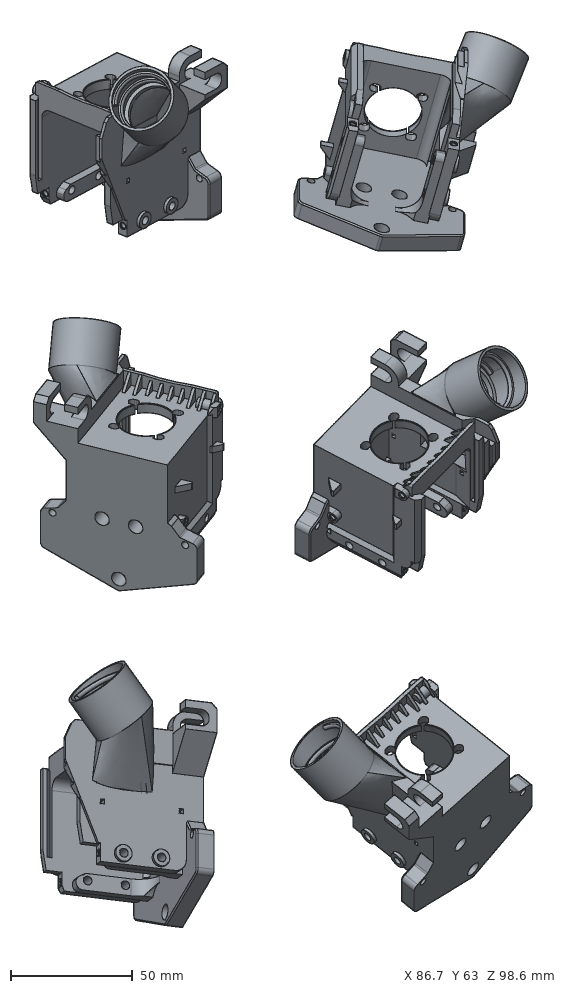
import cadquery as cq
import math


PLATE_THICKNESS = 7.7
PLATE_HALF_WIDTH = 35.25
PLATE_TIP_ANGLE = 20.0
PLATE_TIP_RADIUS = 2.0
FOOT_RADIUS = 2.6
NECK_RADIUS = 1.2
EAR_RADIUS = 2.8
PLATE_EDGE_CHAMFER = 0.6
EAR_TOP_Z = 31.4
EAR_NECK = (27.4, 33.5)
NECK_CORNER = (23.7, 38.0)
NECK_TOP = (21.5, 39.4)
LARGE_SCREW_DIAMETER = 6.5
SMALL_SCREW_DIAMETER = 3.2
TIP_SCREW_Z = 5.7
PAIR_SCREW_X = 7.55
PAIR_SCREW_Z = 33.45
EAR_SCREW_X = 29.85
EAR_SCREW_Z = 30.4

INNER_X = 18.95
PANEL_X = 21.9
RAIL_X = 23.6
DUCT_SIDE_RECESS = 1.6
RAIL_BOTTOM_Z = 16.0
WALL_BOTTOM_Z = 24.0
BOX_TOP_Z = 67.65
JAMB_TOP_Z = 67.9
CEILING_Z = 63.0
CEILING_FILLET = 4.3
CEILING_FRONT = 50.1
PANEL_FRONT = 40.2
DUCT_SIDE_FRONT = 41.5
DUCT_SIDE_RUN_OUT = 49.6
DUCT_SIDE_BOTTOM_Z = 24.5
RAIL_FRONT = 45.6
JAMB_FRONT = 54.2
JAMB_FOOT_FRONT = 52.7
JAMB_TAPER_Z = 33.1
JAMB_CHAMFER = 2.1
RAIL_CHAMFER_X = 0.9
RAIL_CHAMFER_Z = 2.3
HEEL_RADIUS = 5.0
SCOOP_TOP_Z = 30.0
GROOVE_WIDTH = 2.2
GROOVE_BOTTOM_Z = 29.8
SCOOP_RADIUS = 4.8
CROSS_HOLE_DIAMETER = 3.7
CROSS_HOLE_Z = 20.4
CROSS_HOLE_FORWARD = (19.2, 35.9)
CROSS_BOSS_DIAMETER = 7.2
CROSS_BOSS_X = 25.15
END_SCREW_X = 21.3
END_SCREW_DEPTH = 8.0
INSERT_DIAMETER = 2.5
INSERT_MOUTH_DIAMETER = 3.2
INSERT_MOUTH_DEPTH = 0.6

FAN_FORWARD = 27.6
FAN_DIAMETER = 23.9
FAN_MOUTH_DIAMETER = 24.6
FAN_SLOT_OFFSET = 9.92
FAN_SLOT_LENGTH = 4.6
FAN_SLOT_WIDTH = 3.7

LINTEL_BACK = 48.5
LINTEL_LEFT_X = -22.5
LINTEL_RIGHT_X = 22.15
LINTEL_TOP_Z = 74.05
LINTEL_DIP = 0.55
LINTEL_DIP_HALF_WIDTH = 10.5
LINTEL_CORNER_RADIUS = 1.0
GUSSET_THICKNESS = 1.35
GUSSET_PITCH = 4.81
GUSSET_COUNT = 9
MIDDLE_GUSSET_X = -2.6
LONG_GUSSET = 6.3
SHORT_GUSSET = 4.5
SHORT_GUSSET_INDEXES = (3, 4, 5, 6)

CURB_INNER_X = 18.4
CURB_OUTER_X = 24.4
CURB_TOP_Z = 76.0
CURB_BOTTOM_Z = 61.0
CURB_THICK_LENGTH = 23.0
CURB_CHAMFER_START = 46.2
HOOK_CENTRE = (7.0, 78.3)
HOOK_SLOT_RADIUS = 3.55
HOOK_RADIUS = 6.9
FAR_HOOK_X = 32.4
HOOK_END_X = 38.4
HOOK_TIP_THICKNESS = 2.2
HOOK_CHAMFER = 2.4
FIN_INNER_X = 22.15
FIN_OUTER_X = 23.65
FIN_FRONT = 61.2
FIN_BASE = (54.0, 41.5)
FIN_SLOPE_END = (46.6, WALL_BOTTOM_Z)

SOCKET_TILT = 12.0
SOCKET_RIM_CENTRE = (37.8, 52.85, 88.5)
SOCKET_LENGTH = 20.0
SOCKET_DIAMETER = 28.0
SOCKET_BORE_DIAMETER = 25.5
SOCKET_STOP_DIAMETER = 22.0
SOCKET_STOP_DEPTH = 17.5
THREAD_CREST_DIAMETER = 22.0
THREAD_SHOULDER_DIAMETER = 23.8
THREAD_EMBEDDING = 0.3
THREAD_PITCH = 8.2
THREAD_TURNS = 1.6
THREAD_WIDTH = 2.2
THREAD_START_DEPTH = 1.0
THREAD_RIM_ANGLE = 145.0
DUCT_OUTER_MOUTH = ((20.0, 43.8), (49.4, 43.8), (42.5, CURB_TOP_Z), (20.0, CURB_TOP_Z))
DUCT_INNER_MOUTH = ((23.5, 44.6), (47.4, 44.6), (46.4, CEILING_Z), (23.5, CEILING_Z))

WEDGE_TIP_X = 27.1
WEDGE_TIP_LENGTH = 1.0
WEDGE_Z = (49.3, 52.4)
WEDGE_PLACES = ((13.7, PANEL_X), (45.6, RAIL_X))
PIN_DIAMETER = 5.0
PIN_END_X = -25.0
UPPER_PIN = (46.6, 68.4)
UPPER_PIN_LENGTH = 10.0
UPPER_WEB_LENGTH = 3.2
UPPER_WEB_BEVEL = 2.2
LOWER_WEB_LENGTH = 1.6
LOWER_PIN = (11.6, 33.4)
SLIT_WIDTH = 1.7
SLIT_HEIGHT = 2.0
SLIT_CENTRES = ((9.9, 42.0), (44.8, 42.0))

BAR_INNER_X = 15.0
BAR_END = 41.0
BAR_NOSE_RADIUS = 2.8
NOSE_TOP_Z = 21.9
NOSE_FLAT_TOP_Z = 20.0
BAR_BOTTOM_Z = 16.1
BAR_TOP_Z = 23.4
BAR_ROOT_RADIUS = 9.1
ROOT_TIP_Z = 20.2
CLIP_X = 16.8
CLIP_Z = (25.8, 29.6)
CLIP_LENGTH = 2.2
CLIP_NOTCHES = ((-RAIL_X, 2.2, (21.5, WALL_BOTTOM_Z)), (-PANEL_X, 1.5, (WALL_BOTTOM_Z, CLIP_Z[1])))

OVERLAP = 0.5


def block(x_range, y_range, z_range):
    """Axis-aligned box between the given limits."""
    sizes = [high - low for low, high in (x_range, y_range, z_range)]
    corner = (x_range[0], y_range[0], z_range[0])
    return cq.Workplane("XY").box(*sizes, centered=False).translate(corner)


def prism_x(points, x0, x1):
    """Prism along X from a (forward, z) outline."""
    return cq.Workplane("YZ").workplane(offset=x0).polyline(points).close().extrude(x1 - x0)


def prism_y(points, y0, y1):
    """Prism along Y from an (x, z) outline."""
    return cq.Workplane("XZ").workplane(offset=-y0).polyline(points).close().extrude(y0 - y1)


def prism_z(points, z0, z1):
    """Prism along Z from an (x, forward) outline."""
    return cq.Workplane("XY").workplane(offset=z0).polyline(points).close().extrude(z1 - z0)


def rod_x(centre, diameter, x0, x1):
    return cq.Workplane("YZ").workplane(offset=x0).center(*centre).circle(diameter / 2).extrude(x1 - x0)


def rod_y(centre, diameter, y0, y1):
    return cq.Workplane("XZ").workplane(offset=-y0).center(*centre).circle(diameter / 2).extrude(y0 - y1)


def mirror_x(shape):
    return shape.mirror("YZ")


def mounting_plate():
    radius = PLATE_TIP_RADIUS
    slope = math.tan(math.radians(PLATE_TIP_ANGLE))
    tip_z = -radius * (1 / math.cos(math.radians(PLATE_TIP_ANGLE)) - 1)
    right_side = [
        (PLATE_HALF_WIDTH, tip_z + PLATE_HALF_WIDTH * slope),
        (PLATE_HALF_WIDTH, EAR_TOP_Z),
        EAR_NECK,
        NECK_CORNER,
        NECK_TOP,
    ]
    left_side = [(-x, z) for x, z in reversed(right_side)]
    plate = prism_y([(0, tip_z)] + right_side + left_side, 0, PLATE_THICKNESS)
    rounded_corners = [
        ((0, tip_z), radius),
        (right_side[0], FOOT_RADIUS),
        (right_side[1], EAR_RADIUS),
        (EAR_NECK, NECK_RADIUS),
    ]
    for (x, z), corner_radius in rounded_corners:
        for edge_x in {x, -x}:
            corner = cq.selectors.NearestToPointSelector((edge_x, PLATE_THICKNESS / 2, z))
            plate = plate.edges("|Y").edges(corner).fillet(corner_radius)
    plate = plate.faces(">Y").edges().chamfer(PLATE_EDGE_CHAMFER)
    screws = [
        ((0, TIP_SCREW_Z), LARGE_SCREW_DIAMETER),
        ((-PAIR_SCREW_X, PAIR_SCREW_Z), LARGE_SCREW_DIAMETER),
        ((PAIR_SCREW_X, PAIR_SCREW_Z), LARGE_SCREW_DIAMETER),
        ((-EAR_SCREW_X, EAR_SCREW_Z), SMALL_SCREW_DIAMETER),
        ((EAR_SCREW_X, EAR_SCREW_Z), SMALL_SCREW_DIAMETER),
    ]
    plate = plate.union(block((-PANEL_X, PANEL_X), (0, PLATE_THICKNESS), (EAR_NECK[1], CEILING_Z + OVERLAP)))
    for centre, diameter in screws:
        plate = plate.cut(rod_y(centre, diameter, -OVERLAP, PLATE_THICKNESS + OVERLAP))
    return plate


def jamb_outline():
    """Side profile of one side wall with its bottom rail and front jamb."""
    return [
        (0, EAR_NECK[1]),
        (PLATE_THICKNESS - OVERLAP, EAR_NECK[1]),
        (PLATE_THICKNESS - OVERLAP, RAIL_BOTTOM_Z),
        (RAIL_FRONT, RAIL_BOTTOM_Z),
        (RAIL_FRONT, WALL_BOTTOM_Z),
        (JAMB_FOOT_FRONT, WALL_BOTTOM_Z),
        (JAMB_FRONT, JAMB_TAPER_Z),
        (JAMB_FRONT, JAMB_TOP_Z),
        (RAIL_FRONT, JAMB_TOP_Z),
        (RAIL_FRONT, BOX_TOP_Z),
        (0, BOX_TOP_Z),
    ]


def wall_recess(x_mouth, x_floor, y_mouth, y_floor, z_mouth):
    """Shallow recess of a side wall: bevelled along its front and bottom edges."""
    z_floor = z_mouth + abs(x_mouth - x_floor)
    top = JAMB_TOP_Z + OVERLAP

    def rectangle(x, front, bottom):
        points = [(-OVERLAP, bottom), (front, bottom), (front, top), (-OVERLAP, top)]
        return cq.Wire.makePolygon([cq.Vector(x, y, z) for y, z in points], close=True)

    mouth = rectangle(x_mouth, y_mouth, z_mouth)
    floor = rectangle(x_floor, y_floor, z_floor)
    return cq.Workplane(cq.Solid.makeLoft([mouth, floor], True))


def rail_heel(x0, x1):
    """Waste outside the rounded lower back corner of a bottom rail."""
    y = PLATE_THICKNESS
    z = RAIL_BOTTOM_Z
    corner = block((x0, x1), (y, y + HEEL_RADIUS), (z, z + HEEL_RADIUS))
    return corner.cut(rod_x((y + HEEL_RADIUS, z + HEEL_RADIUS), 2 * HEEL_RADIUS, x0, x1))


def left_wall():
    wall = prism_x(jamb_outline(), -RAIL_X, -INNER_X)
    wall = wall.cut(rail_heel(-RAIL_X, -INNER_X))
    bevel_front = PANEL_FRONT + RAIL_X - PANEL_X
    wall = wall.cut(wall_recess(-RAIL_X, -PANEL_X, bevel_front, PANEL_FRONT, WALL_BOTTOM_Z))
    front_chamfer = prism_z(
        [
            (-RAIL_X, JAMB_FRONT - JAMB_CHAMFER),
            (-RAIL_X + JAMB_CHAMFER, JAMB_FRONT),
            (-RAIL_X, JAMB_FRONT),
        ],
        WALL_BOTTOM_Z,
        JAMB_TOP_Z,
    )
    rail_chamfer = prism_y(
        [
            (-RAIL_X, RAIL_BOTTOM_Z),
            (-RAIL_X + RAIL_CHAMFER_X, RAIL_BOTTOM_Z),
            (-RAIL_X, RAIL_BOTTOM_Z + RAIL_CHAMFER_Z),
        ],
        PLATE_THICKNESS,
        RAIL_FRONT,
    )
    rail_toe = prism_x(
        [
            (RAIL_FRONT, RAIL_BOTTOM_Z),
            (RAIL_FRONT, RAIL_BOTTOM_Z + RAIL_CHAMFER_Z),
            (RAIL_FRONT - RAIL_CHAMFER_X, RAIL_BOTTOM_Z),
        ],
        -RAIL_X,
        -INNER_X,
    )
    scoop = block((-RAIL_X, -PANEL_X), (RAIL_FRONT, JAMB_FRONT), (WALL_BOTTOM_Z, SCOOP_TOP_Z))
    scoop = scoop.cut(rod_x((RAIL_FRONT, WALL_BOTTOM_Z + SCOOP_RADIUS), 2 * SCOOP_RADIUS, -RAIL_X, -PANEL_X))
    scoop = scoop.cut(
        block(
            (-RAIL_X, -PANEL_X),
            (RAIL_FRONT, RAIL_FRONT + SCOOP_RADIUS),
            (WALL_BOTTOM_Z + SCOOP_RADIUS, SCOOP_TOP_Z),
        )
    )
    for cut in (front_chamfer, rail_chamfer, rail_toe, scoop):
        wall = wall.cut(cut)
    for face_x, depth, z_range in CLIP_NOTCHES:
        notch = prism_z(
            [
                (face_x, PLATE_THICKNESS),
                (face_x + depth, PLATE_THICKNESS),
                (face_x, PLATE_THICKNESS + depth),
            ],
            *z_range,
        )
        wall = wall.cut(notch)
    return wall


def right_wall():
    wall = prism_x(jamb_outline(), INNER_X, FIN_OUTER_X)
    wall = wall.cut(rail_heel(INNER_X, FIN_OUTER_X))
    floor_x = INNER_X + DUCT_SIDE_RECESS
    wall = wall.cut(wall_recess(INNER_X, floor_x, DUCT_SIDE_RUN_OUT, DUCT_SIDE_FRONT, DUCT_SIDE_BOTTOM_Z))
    fin_base_slope = prism_x(
        [
            FIN_BASE,
            FIN_SLOPE_END,
            (JAMB_FRONT + OVERLAP, FIN_SLOPE_END[1]),
            (JAMB_FRONT + OVERLAP, FIN_BASE[1]),
        ],
        FIN_INNER_X,
        FIN_OUTER_X,
    )
    wall = wall.cut(fin_base_slope)
    for centre in CROSS_HOLE_FORWARD:
        wall = wall.union(rod_x((centre, CROSS_HOLE_Z), CROSS_BOSS_DIAMETER, INNER_X, CROSS_BOSS_X))
    for y, z in SLIT_CENTRES:
        y_range = (y - SLIT_WIDTH / 2, y + SLIT_WIDTH / 2)
        z_range = (z - SLIT_HEIGHT / 2, z + SLIT_HEIGHT / 2)
        wall = wall.cut(block((INNER_X, FIN_OUTER_X + OVERLAP), y_range, z_range))
    return wall


def jamb_grooves():
    """Three-cornered grooves down the inner faces of both jambs, just in front of the lintel."""
    outline = [
        (INNER_X, CEILING_FRONT),
        (INNER_X, CEILING_FRONT + GROOVE_WIDTH),
        (INNER_X + GROOVE_WIDTH, CEILING_FRONT),
    ]
    groove = prism_z(outline, GROOVE_BOTTOM_Z, JAMB_TOP_Z)
    return groove.union(mirror_x(groove))


def box_top():
    """Top plate with a filleted underside, the fan opening and its four slots."""
    top = block((-PANEL_X, FIN_OUTER_X), (0, CEILING_FRONT), (CEILING_Z, BOX_TOP_Z))
    drop = CEILING_FILLET
    for side in (-1, 1):
        corner = block((0, drop), (0, CEILING_FRONT), (CEILING_Z - drop, CEILING_Z))
        corner = corner.cut(rod_y((0, CEILING_Z - drop), 2 * drop, 0, CEILING_FRONT))
        corner = corner.translate((INNER_X - drop, 0, 0))
        top = top.union(corner if side > 0 else mirror_x(corner))
    rim_chamfer = (FAN_MOUTH_DIAMETER - FAN_DIAMETER) / 2
    mouth = cq.Workplane("XY").workplane(offset=BOX_TOP_Z - rim_chamfer).center(0, FAN_FORWARD)
    mouth = mouth.circle(FAN_MOUTH_DIAMETER / 2).extrude(rim_chamfer)
    thickness = BOX_TOP_Z - CEILING_Z
    plane = cq.Workplane("XY").workplane(offset=CEILING_Z).center(0, FAN_FORWARD)
    top = top.cut(plane.circle(FAN_DIAMETER / 2).extrude(thickness)).cut(mouth)
    slots = plane.rect(2 * FAN_SLOT_OFFSET, 2 * FAN_SLOT_OFFSET, forConstruction=True).vertices()
    return top.cut(slots.slot2D(FAN_SLOT_LENGTH, FAN_SLOT_WIDTH).extrude(thickness))


def lintel():
    """Upright strip over the front opening, stiffened from behind by triangular gussets."""
    gusset_back = LINTEL_BACK - LONG_GUSSET
    outline = (
        cq.Workplane("XZ")
        .workplane(offset=-gusset_back)
        .moveTo(LINTEL_LEFT_X, BOX_TOP_Z)
        .lineTo(LINTEL_LEFT_X, LINTEL_TOP_Z)
        .lineTo(-LINTEL_DIP_HALF_WIDTH, LINTEL_TOP_Z)
        .threePointArc((0, LINTEL_TOP_Z - LINTEL_DIP), (LINTEL_DIP_HALF_WIDTH, LINTEL_TOP_Z))
        .lineTo(LINTEL_RIGHT_X, LINTEL_TOP_Z)
        .lineTo(LINTEL_RIGHT_X, BOX_TOP_Z)
        .close()
        .extrude(gusset_back - CEILING_FRONT)
        .edges("|Y and <X and >Z")
        .fillet(LINTEL_CORNER_RADIUS)
    )
    supports = block((LINTEL_LEFT_X, LINTEL_RIGHT_X), (LINTEL_BACK, CEILING_FRONT), (BOX_TOP_Z, LINTEL_TOP_Z))
    middle_index = (GUSSET_COUNT - 1) / 2
    for index in range(GUSSET_COUNT):
        reach = SHORT_GUSSET if index in SHORT_GUSSET_INDEXES else LONG_GUSSET
        x = MIDDLE_GUSSET_X + (index - middle_index) * GUSSET_PITCH
        triangle = [
            (LINTEL_BACK - reach, BOX_TOP_Z),
            (LINTEL_BACK, BOX_TOP_Z),
            (LINTEL_BACK, BOX_TOP_Z + reach),
        ]
        supports = supports.union(prism_x(triangle, x - GUSSET_THICKNESS / 2, x + GUSSET_THICKNESS / 2))
    return outline.intersect(supports)


def curb():
    """Raised wall along the right edge of the box top, bevelled into the fin at its front."""
    run_out = FIN_INNER_X - CURB_INNER_X
    strip = prism_z(
        [
            (CURB_INNER_X, 0),
            (FIN_OUTER_X, 0),
            (FIN_OUTER_X, CEILING_FRONT),
            (FIN_INNER_X, CURB_CHAMFER_START + run_out),
            (CURB_INNER_X, CURB_CHAMFER_START),
        ],
        BOX_TOP_Z,
        CURB_TOP_Z,
    )
    thick = block((FIN_OUTER_X, CURB_OUTER_X), (0, CURB_THICK_LENGTH), (CURB_BOTTOM_Z, CURB_TOP_Z))
    return strip.union(thick)


def fin():
    """Thin upright blade in front of the right jamb with two wedge ribs on its inner face."""
    outline = [
        (RAIL_FRONT, CURB_TOP_Z),
        (56.7, CURB_TOP_Z),
        (58.4, 74.2),
        (FIN_FRONT, JAMB_TOP_Z),
        (FIN_FRONT, 58.4),
        FIN_BASE,
        (RAIL_FRONT, FIN_BASE[1]),
    ]
    blade = prism_x(outline, FIN_INNER_X, FIN_OUTER_X)
    rib_outlines = (
        [(FIN_INNER_X, 54.0), (19.1, 57.0), (FIN_INNER_X, 57.0)],
        [(FIN_INNER_X, 57.0), (19.6, 59.4), (19.6, 60.3), (FIN_INNER_X, 60.3)],
    )
    profile = prism_x(outline, INNER_X, FIN_OUTER_X)
    for rib in rib_outlines:
        blade = blade.union(prism_z(rib, FIN_BASE[1], JAMB_TOP_Z).intersect(profile))
    return blade


def hooks():
    """Two opposed hooks on a shared foot; the near one opens backward, the far one forward."""
    y, z = HOOK_CENTRE
    top = z + HOOK_RADIUS
    front = y + HOOK_RADIUS
    seat = z - HOOK_SLOT_RADIUS
    near = block((CURB_INNER_X, CURB_OUTER_X), (0, front), (CURB_TOP_Z - 2, z))
    near = near.union(block((CURB_INNER_X, CURB_OUTER_X), (0, y), (z, top)))
    near = near.union(rod_x(HOOK_CENTRE, 2 * HOOK_RADIUS, CURB_INNER_X, CURB_OUTER_X))
    far = block((FAR_HOOK_X, HOOK_END_X), (0, front), (seat - HOOK_TIP_THICKNESS, top))
    far = far.edges("|X and >Z and <Y").chamfer(HOOK_CHAMFER)
    far = far.cut(block((FAR_HOOK_X, HOOK_END_X), (y, front), (seat, z + HOOK_SLOT_RADIUS)))
    reach = HOOK_END_X - FIN_OUTER_X
    foot = prism_y(
        [
            (FIN_OUTER_X, seat),
            (HOOK_END_X, seat),
            (HOOK_END_X, seat - HOOK_TIP_THICKNESS),
            (FIN_OUTER_X, seat - HOOK_TIP_THICKNESS - reach),
        ],
        0,
        front,
    )
    return near.union(far).union(foot)


def hook_slots():
    """Round seat of both hooks, with the near hook's mouth running out at the back."""
    y, z = HOOK_CENTRE
    radius = HOOK_SLOT_RADIUS
    bore = rod_x(HOOK_CENTRE, 2 * radius, CURB_INNER_X, HOOK_END_X)
    return bore.union(block((CURB_INNER_X, CURB_OUTER_X), (0, y), (z - radius, z + radius)))


def socket_plane():
    """Plane at the lower end of the socket, with its normal along the socket axis."""
    tilt = math.radians(SOCKET_TILT)
    forward = math.cos(tilt) * math.sqrt(0.5)
    axis = (math.sin(tilt), forward, forward)
    origin = [rim - SOCKET_LENGTH * part for rim, part in zip(SOCKET_RIM_CENTRE, axis)]
    sideways = (math.cos(tilt), -axis[0] * math.sqrt(0.5), -axis[0] * math.sqrt(0.5))
    return cq.Plane(origin=tuple(origin), xDir=sideways, normal=axis)


def duct(mouth_x, mouth, diameter):
    """Funnel from a four-sided upright mouth to a circle at the lower end of the socket."""
    corners = [(mouth_x, y, z) for y, z in mouth]
    rectangle = cq.Wire.makePolygon([cq.Vector(*corner) for corner in corners], close=True)
    circle = cq.Workplane(socket_plane()).circle(diameter / 2).wires().val()
    return cq.Workplane(cq.Solid.makeLoft([rectangle, circle], True))


def thread():
    """Internal helical ridge for the hose, starting just below the rim."""
    root = SOCKET_BORE_DIAMETER / 2 + THREAD_EMBEDDING
    crest = THREAD_CREST_DIAMETER / 2
    shoulder = THREAD_SHOULDER_DIAMETER / 2
    length = THREAD_TURNS * THREAD_PITCH
    path = cq.Wire.makeHelix(THREAD_PITCH, length, root, lefthand=True)
    half = THREAD_WIDTH / 2
    profile = cq.Workplane("XZ").moveTo(root, -half).lineTo(shoulder, -half)
    profile = profile.threePointArc((crest, 0), (shoulder, half)).lineTo(root, half).close()
    ridge = profile.sweep(cq.Workplane(path), isFrenet=True)
    full_turn = 360
    ridge = ridge.rotate((0, 0, 0), (0, 0, 1), THREAD_RIM_ANGLE + full_turn * THREAD_TURNS)
    lift = SOCKET_LENGTH - THREAD_START_DEPTH - half - length
    return cq.Workplane(ridge.translate((0, 0, lift)).val().moved(socket_plane().location))


def socket():
    return cq.Workplane(socket_plane()).circle(SOCKET_DIAMETER / 2).extrude(SOCKET_LENGTH)


def socket_bore():
    bore = cq.Workplane(socket_plane()).circle(SOCKET_STOP_DIAMETER / 2).extrude(SOCKET_LENGTH)
    stop = cq.Workplane(socket_plane()).workplane(offset=SOCKET_LENGTH - SOCKET_STOP_DEPTH)
    return bore.union(stop.circle(SOCKET_BORE_DIAMETER / 2).extrude(SOCKET_STOP_DEPTH))


def wedges():
    """Snap wedges standing out of the left wall."""
    shapes = cq.Workplane("XY")
    for front, wall_x in WEDGE_PLACES:
        reach = WEDGE_TIP_X - wall_x
        outline = [
            (-INNER_X, front),
            (-WEDGE_TIP_X, front),
            (-WEDGE_TIP_X, front - WEDGE_TIP_LENGTH),
            (-wall_x, front - WEDGE_TIP_LENGTH - reach),
            (-INNER_X, front - WEDGE_TIP_LENGTH - reach),
        ]
        shapes = shapes.union(prism_z(outline, *WEDGE_Z))
    return shapes


def pins():
    """Insert bosses across the left wall, each backed by a web."""
    radius = PIN_DIAMETER / 2
    y, z = UPPER_PIN
    upper = rod_x(UPPER_PIN, PIN_DIAMETER, PIN_END_X, PIN_END_X + UPPER_PIN_LENGTH)
    web = prism_z(
        [
            (PIN_END_X, y),
            (PIN_END_X, y - UPPER_WEB_LENGTH),
            (-PANEL_X, PANEL_FRONT),
            (-PANEL_X, y),
        ],
        z - radius,
        z + radius,
    )
    web_profile = prism_x(
        [
            (y, z - radius),
            (PANEL_FRONT, z - radius),
            (PANEL_FRONT, BOX_TOP_Z),
            (PANEL_FRONT + UPPER_WEB_BEVEL, z + radius),
            (y, z + radius),
        ],
        PIN_END_X,
        -PANEL_X,
    )
    shapes = upper.union(web.intersect(web_profile))
    y, z = LOWER_PIN
    shapes = shapes.union(rod_x(LOWER_PIN, PIN_DIAMETER, PIN_END_X, -PANEL_X + OVERLAP))
    web = prism_z(
        [
            (PIN_END_X, y),
            (PIN_END_X, y - LOWER_WEB_LENGTH),
            (-PANEL_X, PLATE_THICKNESS),
            (-PANEL_X, y),
        ],
        z - radius,
        z + radius,
    )
    return shapes.union(web)


def pin_inserts():
    holes = rod_x(UPPER_PIN, INSERT_DIAMETER, PIN_END_X, PIN_END_X + END_SCREW_DEPTH)
    holes = holes.union(rod_x(LOWER_PIN, INSERT_DIAMETER, PIN_END_X, -INNER_X))
    for centre in (UPPER_PIN, LOWER_PIN):
        holes = holes.union(rod_x(centre, INSERT_MOUTH_DIAMETER, PIN_END_X, PIN_END_X + INSERT_MOUTH_DEPTH))
    return holes


def latch_bar():
    """Bar along the inside of the right rail with a rounded nose and a flared root."""
    nose_start = BAR_END - BAR_NOSE_RADIUS
    nose_chamfer = BAR_TOP_Z - NOSE_TOP_Z
    bar = (
        cq.Workplane("YZ")
        .workplane(offset=BAR_INNER_X)
        .moveTo(PLATE_THICKNESS, BAR_BOTTOM_Z)
        .lineTo(nose_start, BAR_BOTTOM_Z)
        .radiusArc((BAR_END, BAR_BOTTOM_Z + BAR_NOSE_RADIUS), -BAR_NOSE_RADIUS)
        .lineTo(BAR_END, NOSE_FLAT_TOP_Z)
        .radiusArc((BAR_END - nose_chamfer, NOSE_TOP_Z), -BAR_NOSE_RADIUS)
        .lineTo(nose_start - nose_chamfer, BAR_TOP_Z)
        .lineTo(PLATE_THICKNESS, BAR_TOP_Z)
        .close()
        .extrude(INNER_X + OVERLAP - BAR_INNER_X)
    )
    y = PLATE_THICKNESS
    r = BAR_ROOT_RADIUS
    tip_x = BAR_INNER_X - r
    root = block((tip_x, BAR_INNER_X), (y - OVERLAP, y + r), (BAR_BOTTOM_Z, BAR_TOP_Z))
    corner = cq.Workplane("XY").workplane(offset=BAR_BOTTOM_Z).center(tip_x, y + r).circle(r)
    root = root.cut(corner.extrude(BAR_TOP_Z - BAR_BOTTOM_Z))
    undercut = (
        cq.Workplane("XZ")
        .moveTo(tip_x, BAR_BOTTOM_Z)
        .lineTo(tip_x, ROOT_TIP_Z)
        .lineTo(8.0, ROOT_TIP_Z)
        .threePointArc((10.8, 18.9), (13.4, BAR_BOTTOM_Z))
        .close()
        .extrude(-(y + r))
    )
    undercut = undercut.cut(block((0, INNER_X), (0, y), (0, BAR_TOP_Z)))
    return bar.union(root.cut(undercut))


def clip():
    """Small wedge between the right wall and the mounting plate, above the latch bar."""
    bottom, top = CLIP_Z
    outline = [(INNER_X, bottom), (CLIP_X, bottom), (CLIP_X, bottom + 1.7), (INNER_X, top)]
    front = PLATE_THICKNESS + CLIP_LENGTH
    wedge = prism_z([(CLIP_X, PLATE_THICKNESS), (INNER_X, PLATE_THICKNESS), (INNER_X, front)], bottom, top)
    return prism_y(outline, PLATE_THICKNESS, front).intersect(wedge)


def rail_screws():
    holes = cq.Workplane("XY")
    for x in (-END_SCREW_X, END_SCREW_X):
        centre = (x, CROSS_HOLE_Z)
        holes = holes.union(rod_y(centre, INSERT_DIAMETER, RAIL_FRONT - END_SCREW_DEPTH, RAIL_FRONT))
        holes = holes.union(rod_y(centre, INSERT_MOUTH_DIAMETER, RAIL_FRONT - INSERT_MOUTH_DEPTH, RAIL_FRONT))
    for y in CROSS_HOLE_FORWARD:
        holes = holes.union(rod_x((y, CROSS_HOLE_Z), CROSS_HOLE_DIAMETER, -RAIL_X - 1, CROSS_BOSS_X + 1))
    return holes


body = mounting_plate().union(left_wall()).union(right_wall()).union(box_top())
body = body.union(lintel()).union(curb()).union(fin()).union(hooks()).cut(hook_slots())
duct_floor_x = INNER_X + DUCT_SIDE_RECESS
funnel = duct(INNER_X, DUCT_OUTER_MOUTH, SOCKET_DIAMETER)
room = block((-INNER_X, duct_floor_x), (PLATE_THICKNESS, CEILING_FRONT), (WALL_BOTTOM_Z, CEILING_Z))
body = body.union(funnel.cut(room)).union(socket())
body = body.cut(prism_x(DUCT_INNER_MOUTH, INNER_X, duct_floor_x))
body = body.cut(duct(duct_floor_x, DUCT_INNER_MOUTH, SOCKET_STOP_DIAMETER))
body = body.cut(socket_bore()).cut(jamb_grooves())
body = body.union(thread())
body = body.union(wedges()).union(pins())
for inner_piece in (latch_bar(), clip()):
    body = body.union(inner_piece).union(mirror_x(inner_piece))
body = body.cut(pin_inserts()).cut(rail_screws())

result = body.mirror("XZ")